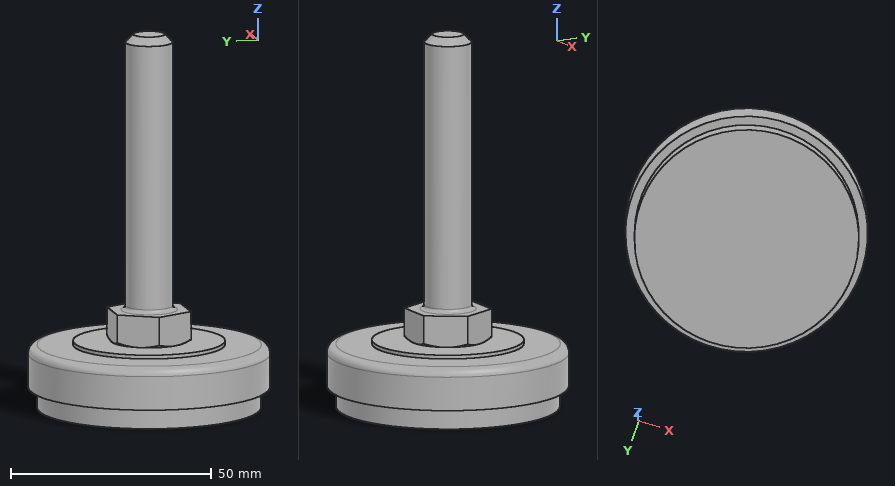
import cadquery as cq
import math


pad_diameter = 56.05
pad_height = 5.2

cap_diameter = 60.5
cap_height = 10.8
cap_edge_radius = (cap_diameter - pad_diameter) / 2

disc_diameter = 38.0
disc_height = 0.95

total_height = 95.0
hex_across_flats = 19.0
hex_height = 8.0
hex_sides = 6
hex_chamfer_angle = 30.0
shank_diameter = 12.0
shank_root_radius = 1.0
shank_tip_chamfer = 2.0

cap_bottom = pad_height
disc_bottom = cap_bottom + cap_height
stud_bottom = disc_bottom + disc_height
shank_height = total_height - stud_bottom - hex_height


def cylinder(diameter, height, bottom):
    """Upright cylinder on the Z axis."""
    return cq.Workplane("XY", origin=(0, 0, bottom)).circle(diameter / 2).extrude(height)


def make_pad():
    return cylinder(pad_diameter, pad_height, 0)


def make_cap():
    """Wider disc with a rounded upper rim."""
    return cylinder(cap_diameter, cap_height, cap_bottom).faces(">Z").edges().fillet(cap_edge_radius)


def make_disc():
    return cylinder(disc_diameter, disc_height, disc_bottom)


def make_hexagon():
    """Hexagon with two flats facing -Y and +Y and its lower corners turned off conically."""
    corner_radius = hex_across_flats / 2 / math.cos(math.pi / hex_sides)
    bottom_radius = hex_across_flats / 2
    chamfer_height = (corner_radius - bottom_radius) * math.tan(math.radians(hex_chamfer_angle))
    prism = (
        cq.Workplane("XY", origin=(0, 0, stud_bottom))
        .polygon(hex_sides, 2 * corner_radius)
        .extrude(hex_height)
    )
    turned_blank = (
        cylinder(2 * corner_radius, hex_height, stud_bottom)
        .faces("<Z")
        .edges()
        .chamfer(chamfer_height, corner_radius - bottom_radius)
    )
    return prism.intersect(turned_blank)


def make_shank():
    """Round shank with a chamfered tip, standing on the hexagon."""
    shank = cylinder(shank_diameter, shank_height, stud_bottom + hex_height)
    return shank.faces(">Z").edges().chamfer(shank_tip_chamfer)


def make_stud():
    """Hexagon and shank in one piece, with a fillet where they meet."""
    root_height = stud_bottom + hex_height
    root_edge = cq.selectors.BoxSelector(
        (-shank_diameter, -shank_diameter, root_height - shank_root_radius),
        (shank_diameter, shank_diameter, root_height + shank_root_radius),
    )
    stud = make_hexagon().union(make_shank())
    return stud.edges("%CIRCLE").edges(root_edge).fillet(shank_root_radius)


pad = make_pad()
cap = make_cap()
disc = make_disc()
stud = make_stud()

result = cq.Compound.makeCompound([pad.val(), cap.val(), disc.val(), stud.val()])